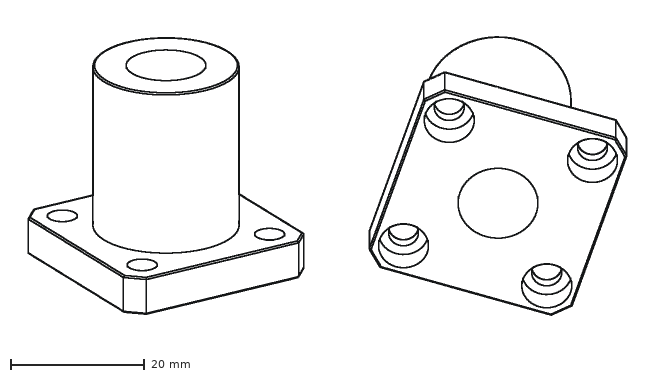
import cadquery as cq

flange_width = 32.0
flange_thickness = 6.0
corner_cut = 2.5
edge_break = 0.25

total_height = 32.0
sleeve_diameter = 22.0
bore_diameter = 12.0

hole_spacing = 22.6
hole_diameter = 4.5
head_diameter = 7.5
head_depth = 4.1


def make_flange():
    """Square plate with cut corners and broken top and bottom edges."""
    plate = cq.Workplane("XY").rect(flange_width, flange_width).extrude(flange_thickness)
    plate = plate.edges("|Z").chamfer(corner_cut)
    return plate.faces("<Z or >Z").edges().chamfer(edge_break)


def make_sleeve():
    """Plain cylinder with a broken outer edge at its top end."""
    sleeve = cq.Workplane("XY").circle(sleeve_diameter / 2).extrude(total_height)
    return sleeve.faces(">Z").edges().chamfer(edge_break)


def make_bore():
    return cq.Workplane("XY").circle(bore_diameter / 2).extrude(total_height)


def make_screw_holes():
    """Four through holes, each widened at the bottom for the screw head."""
    centres = cq.Workplane("XY").rect(hole_spacing, hole_spacing, forConstruction=True).vertices()
    shanks = centres.circle(hole_diameter / 2).extrude(flange_thickness)
    heads = centres.circle(head_diameter / 2).extrude(head_depth)
    return shanks.union(heads)


result = make_flange().union(make_sleeve()).cut(make_bore()).cut(make_screw_holes())